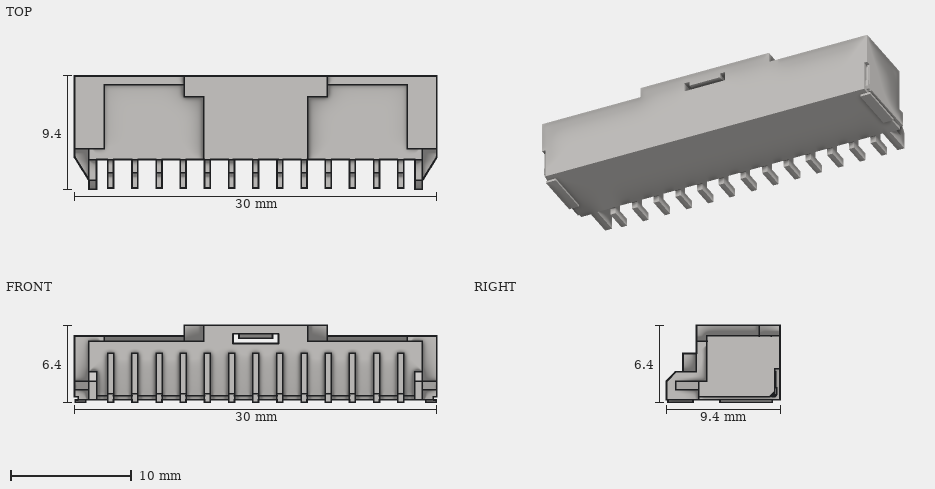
import cadquery as cq


length = 30.0
height = 6.4
depth = 9.4
half_length = length / 2
rear_y = depth / 2
front_y = -depth / 2

standoff = 0.2
body_depth = 6.93
body_front_y = rear_y - body_depth
floor_z = 5.05
rim_z = 5.5
rim_rear_width = 0.74
rim_end_width = 2.45
cheek_width = 1.2
cheek_front_y = rear_y - 6.05
core_half_length = half_length - cheek_width
sill_z = 0.56
sill_setback = 0.3

block_rear_width = 11.85
block_front_width = 8.6
block_rear_depth = 1.72

window_width = 3.75
window_bottom_z = 4.87
window_top_z = 5.67
latch_width = 2.8
latch_bottom_z = 5.3
latch_depth = 1.2
latch_ramp = 0.6
latch_top_z = window_top_z + 0.1

relief_depth = 0.3
relief_rear_width = 0.45
relief_top_z = 2.8
relief_bottom_height = 0.45
relief_chamfer = 0.4

nail_inset = 0.05
nail_top_z = 2.55
nail_leg_rear_y = rear_y - 0.36
nail_bend_rear_y = rear_y - 0.27
nail_bend_top_z = 1.2
nail_bend_bottom_z = 0.65
pad_width = 0.9
pad_length = 4.35
pad_rear_offset = 0.63

tab_width = 0.63
tab_top_z = 2.54
tab_nose_z = 1.75
tab_nose_length = 0.77
web_bottom_z = 1.06
web_top_z = 1.74
web_start_y = rear_y - 6.72
web_end_y = front_y + tab_nose_length
overlap = 0.5

pin_count = 13
pin_pitch = 2.0
pin_width = 0.5
pin_top_z = 4.05
pin_front_y = rear_y - 8.03
pin_heel_y = rear_y - 7.2
foot_thickness = 0.7
foot_front_y = rear_y - 9.28


def box(x0, x1, y0, y1, z0, z1):
    """Box between the given limits."""
    return cq.Workplane("XY").box(x1 - x0, y1 - y0, z1 - z0, centered=False).translate((x0, y0, z0))


def centred_box(width, y0, y1, z0, z1):
    """Box centred on X = 0."""
    return box(-width / 2, width / 2, y0, y1, z0, z1)


def side_profile(points, x0, x1):
    """Prism of a (Y, Z) outline between two X positions."""
    return cq.Workplane("YZ").polyline(points).close().extrude(x1 - x0).translate((x0, 0, 0))


def make_housing():
    """Core with end cheeks, recessed top, raised block and stepped-back underside."""
    core = centred_box(2 * core_half_length, body_front_y, rear_y, standoff, floor_z)
    sill = centred_box(2 * core_half_length, body_front_y, body_front_y + sill_setback, standoff, sill_z)
    rim = centred_box(length, cheek_front_y, rear_y, standoff, rim_z)
    recess = centred_box(length - 2 * rim_end_width, cheek_front_y, rear_y - rim_rear_width, floor_z, rim_z)
    block_rear = centred_box(block_rear_width, rear_y - block_rear_depth, rear_y, standoff, height)
    block_front = centred_box(block_front_width, body_front_y, rear_y, sill_z, height)
    return core.cut(sill).union(rim.cut(recess)).union(block_rear).union(block_front)


def make_window():
    """Window opening, less the ramped latch that hangs from its ceiling at the rear."""
    opening = centred_box(window_width, body_front_y, rear_y, window_bottom_z, window_top_z)
    latch_front_y = rear_y - latch_depth
    latch = side_profile(
        [
            (latch_front_y, latch_bottom_z),
            (rear_y, latch_bottom_z),
            (rear_y, latch_top_z),
            (latch_front_y + latch_ramp, latch_top_z),
        ],
        -latch_width / 2,
        latch_width / 2,
    )
    return opening.cut(latch)


def make_relief():
    """L-shaped cut along the rear and lower edges of the left cheek's outer face."""
    inner_y = rear_y - relief_rear_width
    inner_z = relief_bottom_height
    return side_profile(
        [
            (rear_y, 0),
            (rear_y, relief_top_z),
            (inner_y, relief_top_z),
            (inner_y, inner_z + relief_chamfer),
            (inner_y - relief_chamfer, inner_z),
            (web_start_y, inner_z),
            (web_start_y, 0),
        ],
        -half_length,
        -half_length + relief_depth,
    )


def make_tab():
    """Left guard tab standing in front of the housing."""
    return side_profile(
        [
            (body_front_y + overlap, standoff),
            (front_y, standoff),
            (front_y, tab_nose_z),
            (front_y + tab_nose_length, tab_top_z),
            (body_front_y + overlap, tab_top_z),
        ],
        -core_half_length,
        -core_half_length + tab_width,
    )


def make_web():
    """Triangular web bracing the left tab against the cheek."""
    outline = [
        (-half_length, web_start_y),
        (-core_half_length, web_end_y),
        (-core_half_length, web_start_y),
    ]
    web = cq.Workplane("XY").polyline(outline).close().extrude(web_top_z - web_bottom_z)
    return web.translate((0, 0, web_bottom_z))


def make_nail():
    """Left solder nail: strip in the cheek relief and pad on the board."""
    leg_front_y = rear_y - relief_rear_width
    pad_rear_y = rear_y - pad_rear_offset
    outer_x = -half_length + nail_inset
    strip = side_profile(
        [
            (leg_front_y, nail_top_z),
            (nail_leg_rear_y, nail_top_z),
            (nail_leg_rear_y, nail_bend_top_z),
            (nail_bend_rear_y, nail_bend_top_z),
            (nail_bend_rear_y, nail_bend_bottom_z),
            (leg_front_y, relief_bottom_height),
            (pad_rear_y, relief_bottom_height),
            (leg_front_y, nail_bend_bottom_z),
        ],
        outer_x,
        -half_length + relief_depth,
    )
    pad = box(outer_x, outer_x + pad_width, pad_rear_y - pad_length, pad_rear_y, 0, standoff)
    return strip.union(pad)


def make_end():
    """Left cheek foot, tab and web."""
    cheek_foot = box(-half_length, -core_half_length, web_start_y, cheek_front_y, standoff, web_top_z)
    return cheek_foot.union(make_tab()).union(make_web()).cut(make_relief())


def make_pin(x):
    """L-shaped pin: an upright against the front wall and a foot on the board."""
    x0 = x - pin_width / 2
    x1 = x + pin_width / 2
    upright = box(x0, x1, pin_front_y, body_front_y, sill_z, pin_top_z)
    foot = box(x0, x1, foot_front_y, pin_heel_y, 0, foot_thickness)
    return upright.union(foot)


left_relief = make_relief()
left_end = make_end().union(make_nail())
result = make_housing().cut(make_window()).cut(left_relief).cut(left_relief.mirror("YZ"))
result = result.union(left_end).union(left_end.mirror("YZ"))
for index in range(pin_count):
    result = result.union(make_pin((index - (pin_count - 1) / 2) * pin_pitch))